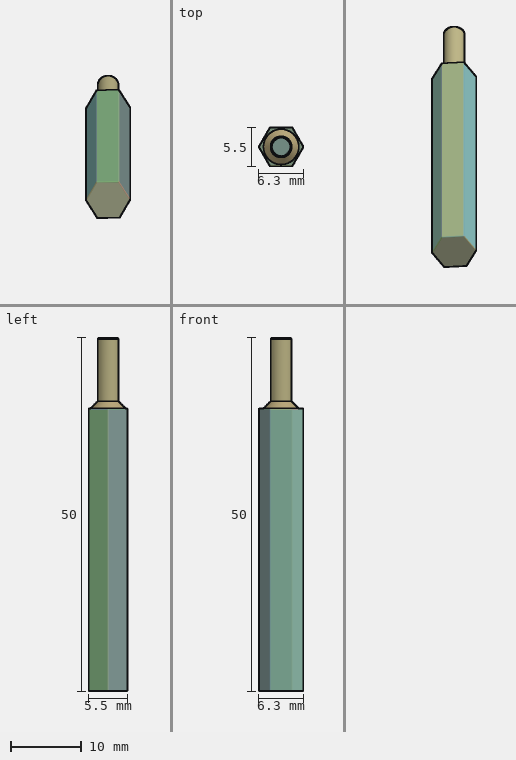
import cadquery as cq
import math

total_length = 50.0
across_flats = 5.5
hex_length = 40.0
edge_radius = 0.15

stud_diameter = 3.0
stud_tip_chamfer = 0.2
cone_height = 1.0
cone_base_diameter = stud_diameter + 2 * cone_height


def hex_body():
    """Hexagonal bar with flats facing +Y and -Y and all edges softened."""
    across_corners = across_flats / math.cos(math.pi / 6)
    bar = cq.Workplane("XY").polygon(6, across_corners).extrude(hex_length)
    return bar.edges().fillet(edge_radius)


def stud():
    """Stud with a conical root and a chamfered tip, revolved about Z."""
    stud_radius = stud_diameter / 2
    tip_radius = stud_radius - stud_tip_chamfer
    half_profile = [
        (0, hex_length),
        (cone_base_diameter / 2, hex_length),
        (stud_radius, hex_length + cone_height),
        (stud_radius, total_length - stud_tip_chamfer),
        (tip_radius, total_length),
        (0, total_length),
    ]
    return cq.Workplane("XZ").polyline(half_profile).close().revolve(360, (0, 0), (0, 1))


result = hex_body().union(stud())